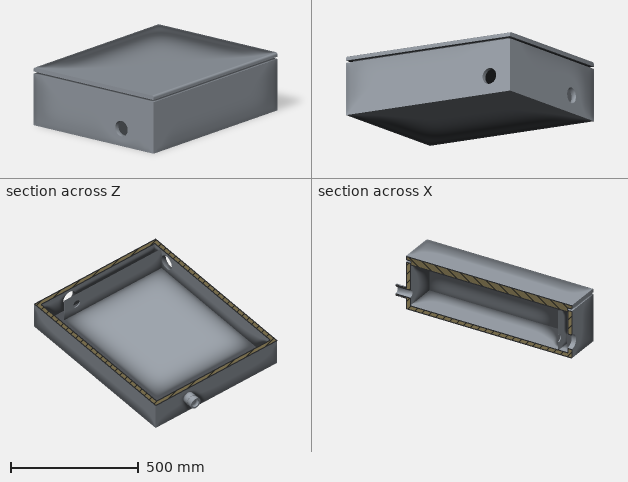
import cadquery as cq

width = 609.0
body_length = 762.5
total_length = 810.0
total_height = 237.0
housing_height = 211.0
wall = 20.0

port_diameter = 63.0
port_height = 71.0
front_port_x = 142.0
side_port_y = 96.5

pipe_diameter = 49.0
pipe_bore = 33.0
groove_diameter = 45.0
groove_width = 9.0
groove_tip_distance = 14.5
pipe_length = total_length - body_length

baffle_y = 60.0
baffle_thickness = 4.0
baffle_overhang = 61.0
baffle_end_x = front_port_x + baffle_overhang

lid_gap = 9.0
plug_depth = 9.0
plate_thickness = total_height - housing_height - lid_gap
edge_radius = 8.0

baffle_height = housing_height - plug_depth - wall


def box(x_size, y_size, z_size, y_start=0, z_start=0):
    """Box centred in X, starting at the given Y and Z."""
    return (
        cq.Workplane("XY")
        .box(x_size, y_size, z_size, centered=(True, False, False))
        .translate((0, y_start, z_start))
    )


def cylinder_along_y(diameter, length, y_start):
    """Cylinder on the common axis of the front port and the outlet pipe."""
    start = cq.Vector(front_port_x, y_start, port_height)
    return cq.Workplane(cq.Solid.makeCylinder(diameter / 2, length, start, cq.Vector(0, 1, 0)))


def make_shell():
    outer = box(width, body_length, housing_height)
    cavity = box(width - 2 * wall, body_length - 2 * wall, housing_height - wall, wall, wall)
    return outer.cut(cavity)


def make_baffle():
    start_x = wall - width / 2
    plate = cq.Workplane("XY").box(
        baffle_end_x - start_x, baffle_thickness, baffle_height, centered=False
    )
    plate = plate.translate((start_x, baffle_y, wall))
    return plate.cut(cylinder_along_y(pipe_bore, baffle_thickness, baffle_y))


def make_pipe():
    pipe = cylinder_along_y(pipe_diameter, pipe_length, body_length)
    groove_start = total_length - groove_tip_distance - groove_width
    groove = cylinder_along_y(pipe_diameter, groove_width, groove_start).cut(
        cylinder_along_y(groove_diameter, groove_width, groove_start)
    )
    return pipe.cut(groove)


def make_housing():
    side_port_start = cq.Vector(-width / 2, side_port_y, port_height)
    side_port = cq.Solid.makeCylinder(port_diameter / 2, wall, side_port_start, cq.Vector(1, 0, 0))
    front_port = cylinder_along_y(port_diameter, wall, 0)
    outlet_bore = cylinder_along_y(pipe_bore, wall + pipe_length, body_length - wall)
    housing = make_shell().union(make_baffle()).union(make_pipe())
    return housing.cut(front_port).cut(cq.Workplane(side_port)).cut(outlet_bore)


def make_lid():
    plate = box(width, body_length, plate_thickness, 0, housing_height + lid_gap)
    plate = plate.faces(">Z").edges("|Y").fillet(edge_radius)
    plug = box(
        width - 2 * wall,
        body_length - 2 * wall,
        plug_depth + lid_gap,
        wall,
        housing_height - plug_depth,
    )
    return plate.union(plug)


housing = make_housing()
lid = make_lid()
result = cq.Compound.makeCompound([housing.val(), lid.val()])